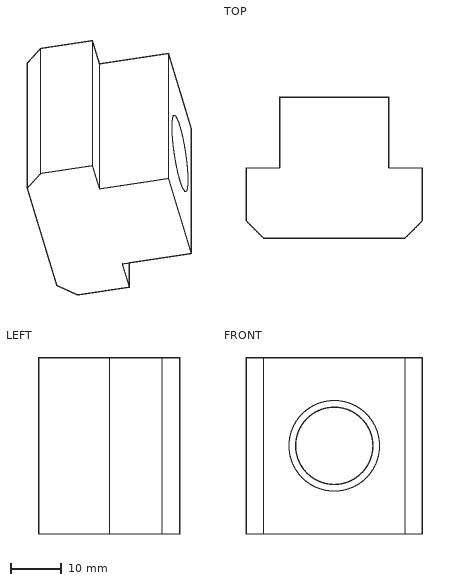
import cadquery as cq

width = 35.0
height = 35.0
depth = 28.0
flange_depth = depth / 2
neck_width = 21.63
edge_chamfer = 3.5
bore_diameter = 15.3
countersink_diameter = 18.0

front_y = -depth / 2
neck_depth = depth - flange_depth


def block(size_x, size_y, start_y):
    """Full-height block centred on X and Z, running toward +Y from start_y."""
    return cq.Workplane("XY").box(size_x, size_y, height).translate((0, start_y + size_y / 2, 0))


flange = block(width, flange_depth, front_y).faces("<Y").edges("|Z").chamfer(edge_chamfer)

neck = block(neck_width, neck_depth, front_y + flange_depth)
body = flange.union(neck)

bore = cq.Workplane("XZ", origin=(0, front_y, 0)).circle(bore_diameter / 2).extrude(-depth)
countersink_depth = (countersink_diameter - bore_diameter) / 2
countersink = cq.Workplane("XY").add(
    cq.Solid.makeCone(
        countersink_diameter / 2,
        bore_diameter / 2,
        countersink_depth,
        pnt=cq.Vector(0, front_y, 0),
        dir=cq.Vector(0, 1, 0),
    )
)

result = body.cut(bore).cut(countersink)